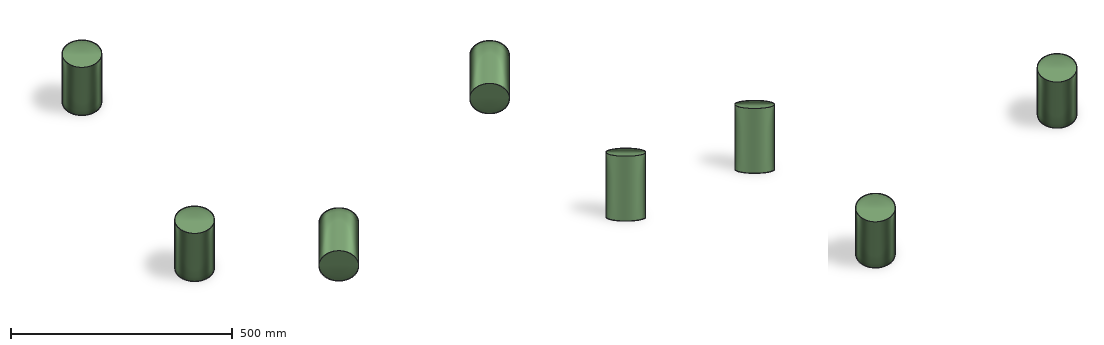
import cadquery as cq

overall_length = 690.0
pin_diameter = 90.0
pin_height = 150.0

pin_spacing = overall_length - pin_diameter


def make_pin(center_x):
    """Plain upright cylinder standing on the XY plane at the given X position."""
    return cq.Workplane("XY").center(center_x, 0).circle(pin_diameter / 2).extrude(pin_height)


pins = []
for side in (-1, 1):
    pins.append(make_pin(side * pin_spacing / 2).val())

result = cq.Compound.makeCompound(pins)